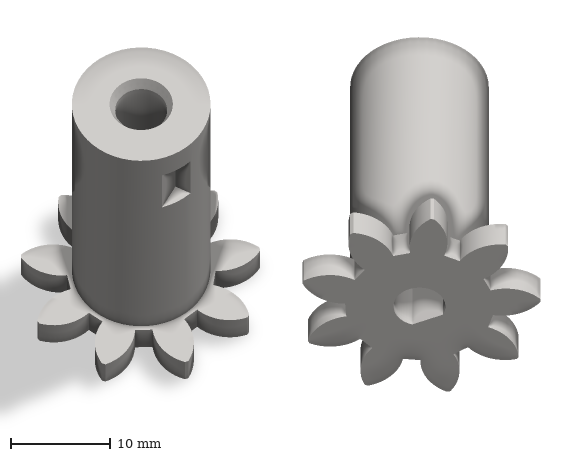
import cadquery as cq
import math

total_height = 31.9
gear_thickness = 3.0
hub_radius = 7.0

tooth_count = 9
root_radius = 7.5
root_half_width = 1.72
flank_radius = 10.1
flank_half_width = 1.63
tip_radius = 12.22
tip_half_width = 0.2

bore_radius = 2.62
bore_flat_distance = 2.0
lead_in_radius = 3.2
lead_in_depth = 1.1

notch_side_x = 4.98
notch_floor_y = -bore_flat_distance
notch_bottom_z = 23.33
notch_height = 5.6


def tooth_point(distance, offset, angle):
    """Point at a distance along a tooth centreline and an offset to its left."""
    return (
        distance * math.cos(angle) - offset * math.sin(angle),
        distance * math.sin(angle) + offset * math.cos(angle),
    )


def make_gear():
    """Flat gear with pointed arc-flanked teeth and straight root lands."""
    root_distance = math.sqrt(root_radius**2 - root_half_width**2)
    outline = cq.Workplane("XY").moveTo(*tooth_point(root_distance, -root_half_width, 0))
    for tooth in range(tooth_count):
        angle = 2 * math.pi * tooth / tooth_count
        root_start = tooth_point(root_distance, -root_half_width, angle)
        root_end = tooth_point(root_distance, root_half_width, angle)
        if tooth > 0:
            outline = outline.lineTo(*root_start)
        outline = outline.threePointArc(
            tooth_point(flank_radius, -flank_half_width, angle),
            tooth_point(tip_radius, -tip_half_width, angle),
        )
        outline = outline.lineTo(*tooth_point(tip_radius, tip_half_width, angle))
        outline = outline.threePointArc(tooth_point(flank_radius, flank_half_width, angle), root_end)
    return outline.close().extrude(gear_thickness)


def make_bore():
    """Through bore with one flat on its -Y side, opening into the lead-in cone."""
    flat_half_width = math.sqrt(bore_radius**2 - bore_flat_distance**2)
    shaft = (
        cq.Workplane("XY")
        .moveTo(-flat_half_width, -bore_flat_distance)
        .lineTo(flat_half_width, -bore_flat_distance)
        .threePointArc((0, bore_radius), (-flat_half_width, -bore_flat_distance))
        .close()
        .extrude(total_height)
    )
    cone_slope = (lead_in_radius - bore_radius) / lead_in_depth
    cone_depth = (lead_in_radius - bore_flat_distance) / cone_slope
    cone_base = cq.Vector(0, 0, total_height - cone_depth)
    lead_in = cq.Workplane(
        cq.Solid.makeCone(bore_flat_distance, lead_in_radius, cone_depth, pnt=cone_base)
    )
    return shaft.union(lead_in)


def make_notch():
    """Box that opens through the hub wall towards +X and -Y."""
    notch = cq.Workplane("XY").box(hub_radius, hub_radius, notch_height, centered=False)
    return notch.translate((notch_side_x, notch_floor_y - hub_radius, notch_bottom_z))


hub = cq.Workplane("XY").circle(hub_radius).extrude(total_height)
result = make_gear().union(hub).cut(make_bore()).cut(make_notch())